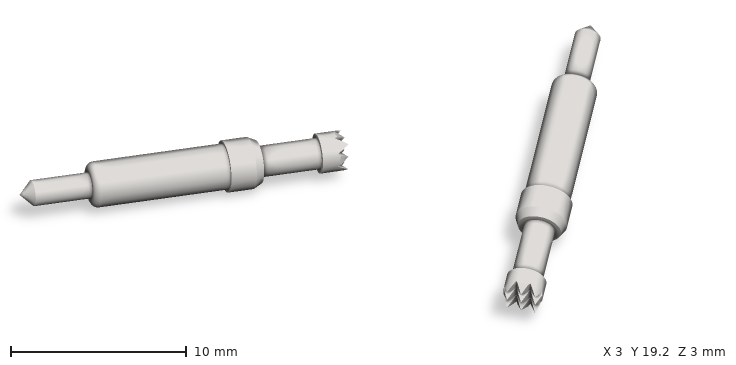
import cadquery as cq
import math


barrel_radius = 1.325
barrel_length = 8.0
barrel_edge_radius = 0.4

collar_radius = 1.5
collar_length = 2.0
collar_taper_length = 0.5
collar_taper_depth = 0.25

shaft_radius = 0.9
shaft_length = 3.5
head_radius = 1.15
head_length = 1.6

tail_radius = 0.75
tail_length = 4.1
tail_point_length = tail_radius

tooth_pitch = head_radius / math.sqrt(2)
groove_angle = math.radians(60)
groove_depth = tooth_pitch / 2 / math.tan(groove_angle / 2)
groove_offsets = [step * tooth_pitch for step in (-1.5, -0.5, 0.5, 1.5)]

barrel_end_y = -barrel_length
tail_tip_y = barrel_end_y - tail_length
head_base_y = collar_length + shaft_length
head_tip_y = head_base_y + head_length


def turned_body():
    """Revolve the stepped half-profile (radius along X) about the Y axis."""
    edge_arc_offset = barrel_edge_radius * math.sqrt(0.5)
    edge_arc_middle = (
        barrel_radius - barrel_edge_radius + edge_arc_offset,
        barrel_end_y + barrel_edge_radius - edge_arc_offset,
    )
    profile = (
        cq.Workplane("XY")
        .moveTo(0, tail_tip_y)
        .lineTo(tail_radius, tail_tip_y + tail_point_length)
        .lineTo(tail_radius, barrel_end_y)
        .lineTo(barrel_radius - barrel_edge_radius, barrel_end_y)
        .threePointArc(edge_arc_middle, (barrel_radius, barrel_end_y + barrel_edge_radius))
        .lineTo(barrel_radius, 0)
        .lineTo(collar_radius, 0)
        .lineTo(collar_radius, collar_length - collar_taper_length)
        .lineTo(collar_radius - collar_taper_depth, collar_length)
        .lineTo(shaft_radius, collar_length)
        .lineTo(shaft_radius, head_base_y)
        .lineTo(head_radius, head_base_y)
        .lineTo(head_radius, head_tip_y)
        .lineTo(0, head_tip_y)
        .close()
    )
    return profile.revolve(360, (0, 0, 0), (0, 1, 0))


def v_groove(offset):
    """V-shaped cutter running along Z across the head, centred at X = offset."""
    half_width = tooth_pitch / 2
    return (
        cq.Workplane("XY")
        .moveTo(offset - half_width, head_tip_y)
        .lineTo(offset, head_tip_y - groove_depth)
        .lineTo(offset + half_width, head_tip_y)
        .close()
        .extrude(2 * head_radius, both=True)
    )


def serrate_head(body):
    """Cut crossed rows of V grooves into the head's end face."""
    for offset in groove_offsets:
        groove = v_groove(offset)
        body = body.cut(groove)
        body = body.cut(groove.rotate((0, 0, 0), (0, 1, 0), 90))
    return body


result = serrate_head(turned_body())